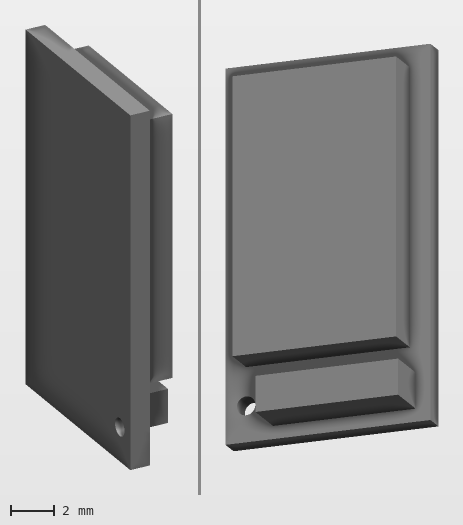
import cadquery as cq

board_width = 10.0
board_thickness = 1.0
board_height = 18.0

module_margin = 1.0
module_width = 8.0
module_depth = 1.71
module_height = 13.4

overall_depth = 3.2
connector_left = 0.72
connector_bottom = 0.63
connector_width = 6.97
connector_depth = overall_depth - board_thickness
connector_height = 1.73

hole_diameter = 0.9
hole_x = 9.0
hole_z = 1.75


def block(left, front, bottom, width, depth, height):
    """Box placed by its lower left front corner."""
    return cq.Workplane("XY").box(width, depth, height, centered=False).translate((left, front, bottom))


board = block(0, 0, 0, board_width, board_thickness, board_height)

module_bottom = board_height - module_margin - module_height
module = block(module_margin, board_thickness, module_bottom, module_width, module_depth, module_height)

connector = block(
    connector_left, board_thickness, connector_bottom, connector_width, connector_depth, connector_height
)

hole = cq.Workplane("XZ").center(hole_x, hole_z).circle(hole_diameter / 2).extrude(-board_thickness)

result = board.union(module).union(connector).cut(hole)